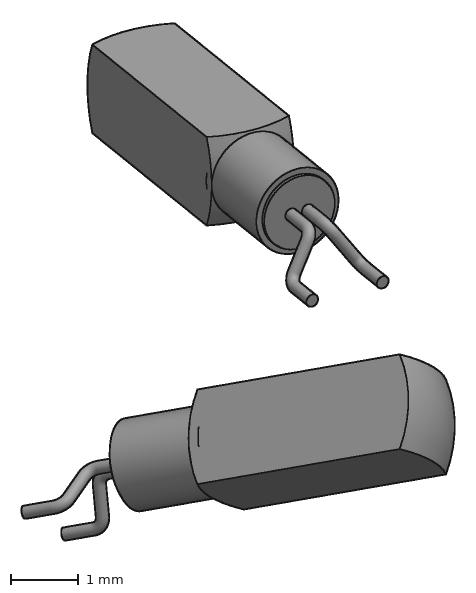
import cadquery as cq
import math

housing_diameter = 1.4
housing_end_x = 5.2

weight_width = housing_diameter
weight_height = 1.475
weight_length = 3.985
dome_radius = 2.01
recess_floor_x = 3.7

cap_diameter = 1.2
cap_thickness = 0.06
cap_end_x = housing_end_x + cap_thickness

lead_diameter = 0.2
lead_end_x = 6.7
lead_bend_radius = lead_diameter
lead_root_y = 0.14
lead_tip_y = (housing_diameter - lead_diameter) / 2
lead_tip_z = -0.67
first_corner_x = 5.86
second_corner_x = 6.04


def axial_cylinder(diameter, start_x, end_x):
    return cq.Workplane("YZ", origin=(start_x, 0, 0)).circle(diameter / 2).extrude(end_x - start_x)


def dome_sphere(center_x):
    return cq.Workplane("XY").sphere(dome_radius).translate((center_x, 0, 0))


def make_housing():
    return axial_cylinder(housing_diameter, recess_floor_x, housing_end_x)


def make_weight():
    """Rectangular bar with spherical ends and a round seat for the housing."""
    bar = cq.Workplane("XY").box(weight_length, weight_width, weight_height, centered=(False, True, True))
    seat = axial_cylinder(housing_diameter, recess_floor_x, weight_length)
    seated_bar = bar.cut(seat)
    return seated_bar.intersect(dome_sphere(dome_radius)).intersect(dome_sphere(weight_length - dome_radius))


def make_end_cap():
    return axial_cylinder(cap_diameter, housing_end_x, cap_end_x)


def make_lead(side):
    """Round wire that bends outward and down, then runs parallel to X again."""
    start = cq.Vector(cap_end_x, side * lead_root_y, 0)
    first_corner = cq.Vector(first_corner_x, side * lead_root_y, 0)
    second_corner = cq.Vector(second_corner_x, side * lead_tip_y, lead_tip_z)
    end = cq.Vector(lead_end_x, side * lead_tip_y, lead_tip_z)

    along_x = cq.Vector(1, 0, 0)
    along_slope = (second_corner - first_corner).normalized()
    bend_angle = along_x.getAngle(along_slope)
    tangent_length = lead_bend_radius * math.tan(bend_angle / 2)

    first_bend_start = first_corner - along_x * tangent_length
    first_bend_end = first_corner + along_slope * tangent_length
    second_bend_start = second_corner - along_slope * tangent_length
    second_bend_end = second_corner + along_x * tangent_length

    path = cq.Wire.assembleEdges([
        cq.Edge.makeLine(start, first_bend_start),
        cq.Edge.makeTangentArc(first_bend_start, along_x, first_bend_end),
        cq.Edge.makeLine(first_bend_end, second_bend_start),
        cq.Edge.makeTangentArc(second_bend_start, along_slope, second_bend_end),
        cq.Edge.makeLine(second_bend_end, end),
    ])
    section = cq.Workplane("YZ", origin=start.toTuple()).circle(lead_diameter / 2)
    return section.sweep(cq.Workplane("XY").newObject([path]))


weight = make_weight()
housing = make_housing()
end_cap = make_end_cap()
leads = [make_lead(side) for side in (-1, 1)]

result = cq.Compound.makeCompound([
    weight.val(),
    housing.val(),
    end_cap.val(),
    *[lead.val() for lead in leads],
])